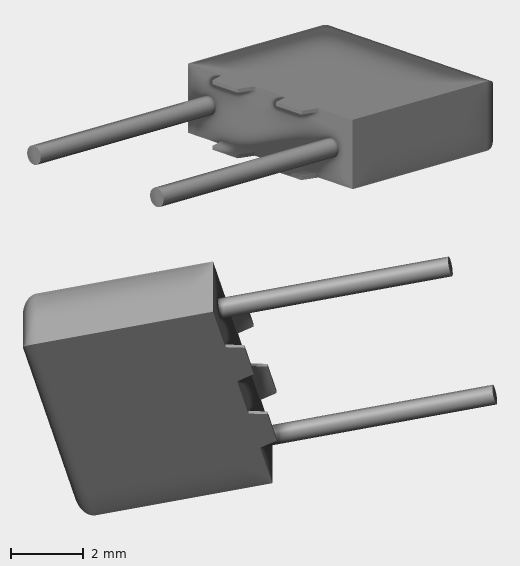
import cadquery as cq


case_width = 6.7
case_height = 5.5
case_thickness = 2.0
edge_radius = 0.5

overall_length = 12.0
lead_diameter = 0.55
lead_pitch = 5.0
lead_length = overall_length - case_height

tab_base_width = 1.33
tab_tip_width = 1.03
tab_length = 0.5
tab_thickness = 0.11
tab_pitch = 2.59


def make_tab(center_x, bottom_z):
    """Tapered tab that points to -Y, with its root on the mounting face."""
    return (
        cq.Workplane("XY", origin=(center_x, 0, bottom_z))
        .moveTo(-tab_base_width / 2, 0)
        .lineTo(tab_base_width / 2, 0)
        .lineTo(tab_tip_width / 2, -tab_length)
        .lineTo(-tab_tip_width / 2, -tab_length)
        .close()
        .extrude(tab_thickness)
    )


def make_case():
    """Block with a rounded far end and four tabs flush with its broad faces."""
    case = (
        cq.Workplane("XY")
        .box(case_width, case_height, case_thickness)
        .translate((0, case_height / 2, 0))
        .faces(">Y")
        .edges()
        .fillet(edge_radius)
    )
    lower_z = -case_thickness / 2
    upper_z = case_thickness / 2 - tab_thickness
    for center_x in (-tab_pitch / 2, tab_pitch / 2):
        for bottom_z in (lower_z, upper_z):
            case = case.union(make_tab(center_x, bottom_z))
    return case


def make_lead(center_x):
    """Round wire that butts against the mounting face and runs to -Y."""
    return (
        cq.Workplane("XZ", origin=(center_x, 0, 0))
        .circle(lead_diameter / 2)
        .extrude(lead_length)
    )


case = make_case()
leads = [make_lead(center_x) for center_x in (-lead_pitch / 2, lead_pitch / 2)]

result = cq.Compound.makeCompound([case.val(), *[lead.val() for lead in leads]])